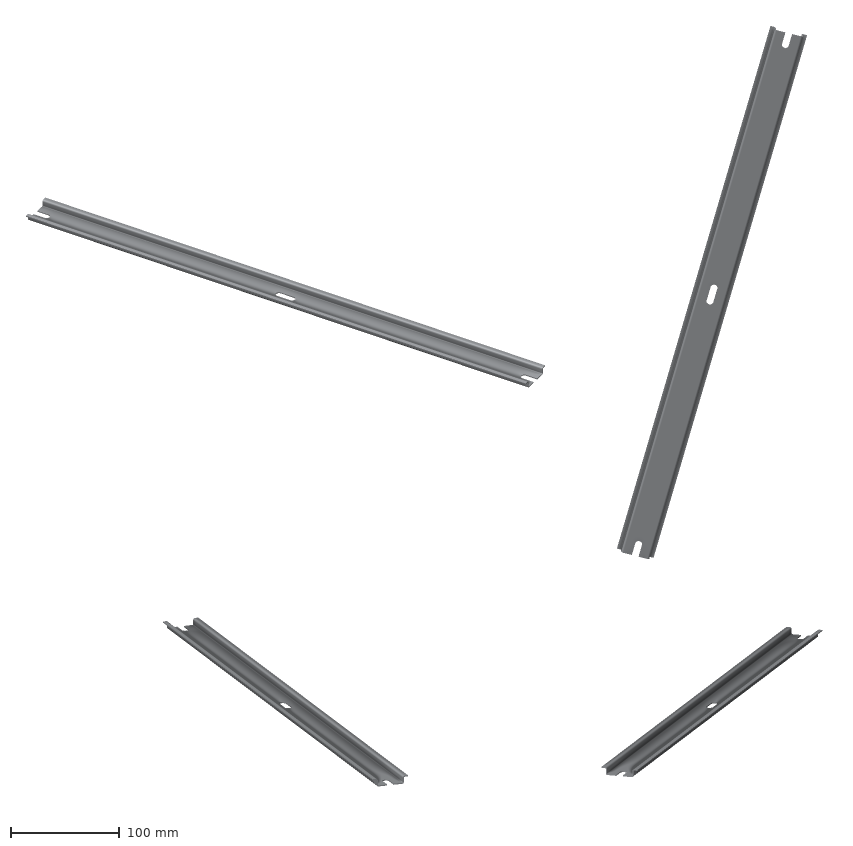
import cadquery as cq

length = 535.0
width = 35.0
height = 7.5
sheet = 1.0
channel_width = 27.0
inner_bend = 0.8
outer_bend = inner_bend + sheet

slot_width = 6.5
slot_length = 20.5
end_slot_depth = 15.0


def box_profile(profile_width, bottom, top):
    """Rectangle in the YZ plane, centred on Y and extruded along the rail."""
    return (
        cq.Workplane("YZ", origin=(-length / 2, 0, 0))
        .center(0, (bottom + top) / 2)
        .rect(profile_width, top - bottom)
        .extrude(length)
    )


def rail_body():
    """Channel with an outward flange on each wall, bends rounded on both faces."""
    flange_bottom = height - sheet
    inside_width = channel_width - 2 * sheet
    outside = box_profile(channel_width, 0, height).edges("|X and <Z").fillet(outer_bend)
    flanges = box_profile(width, flange_bottom, height)
    body = outside.union(flanges)
    body = body.edges(
        cq.selectors.BoxSelector(
            (-length, -width / 2 + sheet, flange_bottom - sheet / 2),
            (length, width / 2 - sheet, flange_bottom + sheet / 2),
        )
    ).edges("|X").fillet(inner_bend)
    cavity = box_profile(inside_width, sheet, height).edges("|X and <Z").fillet(inner_bend)
    body = body.cut(cavity)
    rim = cq.selectors.BoxSelector(
        (-length, -channel_width / 2, height - sheet / 2),
        (length, channel_width / 2, height + sheet / 2),
    )
    return body.edges(rim).edges("|X").fillet(outer_bend)


def slot_cutter(x, slot_size):
    """Round-ended slot along X, centred at x."""
    return cq.Workplane("XY").center(x, 0).slot2D(slot_size, slot_width).extrude(height)


result = rail_body().cut(slot_cutter(0, slot_length))
for side in (-1, 1):
    result = result.cut(slot_cutter(side * length / 2, 2 * end_slot_depth))